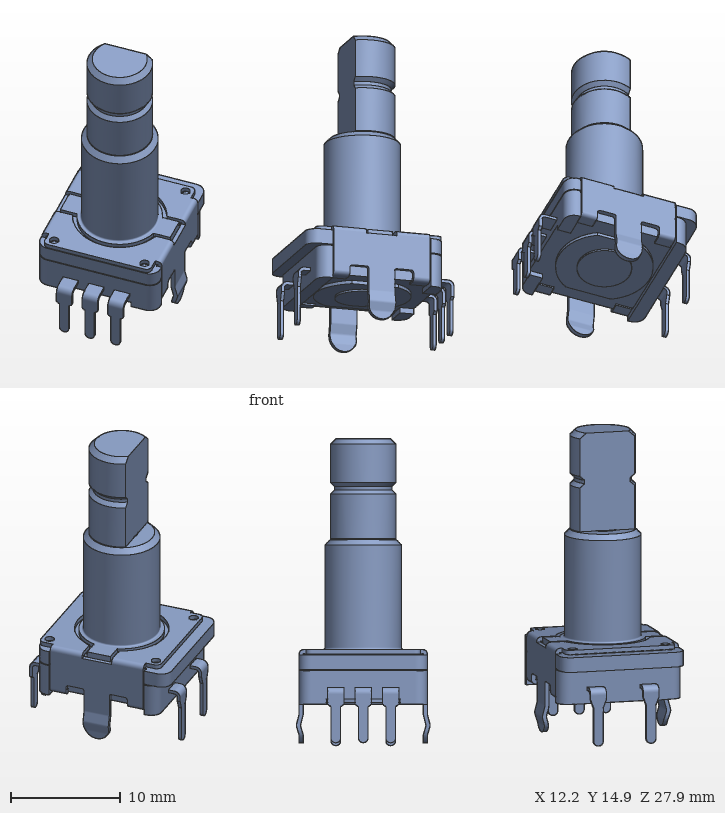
import cadquery as cq
import math


body_half_x = 5.85
body_half_y = 6.0
side_half_x = 5.35
corner_start_y = 4.7
corner_radius = 1.05
base_top = 3.06
seam_gap = 0.09
seam_depth = 1.0
flange_bottom = base_top + seam_gap
flange_top = 4.51
flange_back_y = 7.0

underside_z = 0.5
boss_bottom = 0.18
boss_radius = 4.45
boss_half_x = 3.85
foot_radius = 2.5
front_recess_half_x = 3.35

sheet = 0.4
cover_top = 5.0
plate_bottom = cover_top - sheet
plate_half_x = 5.2
plate_front_y = -6.0
plate_back_y = 5.95
plate_corner_radius = 0.5
wall_half_y = 4.6
wall_inner_x = body_half_x - sheet
fold_radius = 0.45
opening_radius = 4.3
slot_half_y = 1.45
rivet_x = 4.4
rivet_y = 5.25
rivet_diameter = 0.84
pad_inset = 0.3

hook_start_y = 3.05
hook_bottom = 0.34
hook_top = hook_bottom + sheet
hook_radius = 0.4
hook_end_x = 4.6
notch_top = 1.37
notch_radius = 0.3
leg_half_y = 1.25
leg_root_radius = 0.2
leg_end_z = -3.5
kink_peak = 0.262
kink_start_z = -0.92
kink_peak_z = -1.92
kink_end_z = -2.8
kink_radius = 0.5

ring_radius = 3.9
arm_half_y = 1.15
bushing_radius = 3.5
bushing_top = 15.0
bushing_chamfer = 0.5
bushing_fillet = 0.15

shaft_radius = 3.0
shaft_gap = 0.08
shaft_bottom = bushing_top + shaft_gap
shaft_top = 24.18
shaft_chamfer = 0.5
flat_y = 1.5
neck_radius = 1.5
neck_bottom = cover_top
groove_z = 19.67
groove_half_floor = 0.16
groove_depth = 0.38

terminal_sheet = 0.3
terminal_top = 1.53
terminal_bend = 0.6
terminal_width = 1.5
pin_width = 0.9
pin_shoulder_end = -0.25
terminal_pitch = 2.5
front_reach = 7.74
front_end_z = -3.5
front_shoulder_z = 0.0
back_reach = 7.16
back_end_z = -3.77
back_shoulder_z = 0.55


def block(x0, x1, y0, y1, z0, z1):
    """Box between the given limits."""
    return cq.Workplane("XY").box(x1 - x0, y1 - y0, z1 - z0, centered=False).translate((x0, y0, z0))


def make_rivet_holes():
    """Four round holes reaching from the cover top down to the flange."""
    return (
        cq.Workplane("XY")
        .workplane(offset=flange_top)
        .rect(2 * rivet_x, 2 * rivet_y, forConstruction=True)
        .vertices()
        .circle(rivet_diameter / 2)
        .extrude(cover_top - flange_top)
    )


def layer(front_y, back_y, z0, z1):
    """Rounded layer of the housing with its sides set back for the cover walls."""
    body = block(-body_half_x, body_half_x, front_y, back_y, z0, z1).edges("|Z").fillet(corner_radius)
    for side in (-1, 1):
        x0, x1 = sorted((side * side_half_x, side * (body_half_x + 1)))
        body = body.cut(block(x0, x1, -corner_start_y, corner_start_y, z0, z1))
    return body


def make_base():
    """Lower housing layer with a recessed underside, round boss and foot."""
    base = layer(-body_half_y, body_half_y, 0, base_top)
    base = base.cut(block(-body_half_x, body_half_x, -corner_start_y, corner_start_y, 0, underside_z))
    base = base.cut(
        block(-front_recess_half_x, front_recess_half_x, -body_half_y, -corner_start_y, 0, underside_z)
    )
    for side in (-1, 1):
        x0, x1 = sorted((side * hook_end_x, side * body_half_x))
        for y0 in (-corner_start_y, hook_start_y):
            y1 = y0 + corner_start_y - hook_start_y
            base = base.cut(block(x0, x1, y0, y1, underside_z, hook_top))
    boss = cq.Workplane("XY").workplane(offset=boss_bottom).circle(boss_radius)
    boss = boss.extrude(underside_z - boss_bottom)
    boss = boss.intersect(
        block(-boss_half_x, boss_half_x, -boss_radius, boss_radius, boss_bottom, underside_z)
    )
    foot = cq.Workplane("XY").circle(foot_radius).extrude(underside_z)
    return base.union(boss).union(foot)


def make_flange():
    """Upper housing layer, the web that joins it to the base, and the pad under the cover."""
    flange = layer(-body_half_y, flange_back_y, flange_bottom, flange_top)
    web_x = body_half_x - seam_depth
    web_y = body_half_y - seam_depth
    web = block(-web_x, web_x, -web_y, web_y, base_top, flange_bottom)
    pad_x = plate_half_x - pad_inset
    pad_front = plate_front_y + pad_inset
    pad_back = plate_back_y - pad_inset
    pad = block(-pad_x, pad_x, pad_front, pad_back, flange_top, plate_bottom)
    return flange.union(web).union(pad.cut(make_rivet_holes()))


def make_bushing():
    """Bushing with its raised ring and arms, filling the opening of the cover with a gap."""
    ring = cq.Workplane("XY").workplane(offset=flange_top).circle(ring_radius)
    ring = ring.extrude(cover_top - flange_top)
    arms = block(-side_half_x, side_half_x, -arm_half_y, arm_half_y, flange_top, cover_top)
    foot_r = bushing_radius + bushing_fillet
    sag = bushing_fillet * (1 - math.sqrt(0.5))
    profile = (
        cq.Workplane("XZ")
        .moveTo(0, flange_top)
        .lineTo(foot_r, flange_top)
        .lineTo(foot_r, cover_top)
        .threePointArc(
            (bushing_radius + sag, cover_top + sag), (bushing_radius, cover_top + bushing_fillet)
        )
        .lineTo(bushing_radius, bushing_top - bushing_chamfer)
        .lineTo(bushing_radius - bushing_chamfer, bushing_top)
        .lineTo(0, bushing_top)
        .close()
    )
    bushing = profile.revolve(360, (0, 0, 0), (0, 1, 0))
    bore = cq.Workplane("XY").workplane(offset=neck_bottom).circle(neck_radius)
    bore = bore.extrude(bushing_top - neck_bottom)
    return ring.union(arms).union(bushing).cut(bore)


def make_terminal(x, side, reach, shoulder_z, end_z):
    """L-bent terminal leaving the base toward side * Y."""
    inner_bend = terminal_bend - terminal_sheet
    root_y = body_half_y - terminal_sheet
    bend_y = reach - terminal_bend
    bend_z = terminal_top - terminal_bend
    diagonal = math.sqrt(0.5)
    strip = (
        cq.Workplane("YZ")
        .moveTo(root_y, terminal_top)
        .lineTo(bend_y, terminal_top)
        .threePointArc(
            (bend_y + terminal_bend * diagonal, bend_z + terminal_bend * diagonal), (reach, bend_z)
        )
        .lineTo(reach, end_z)
        .lineTo(reach - terminal_sheet, end_z)
        .lineTo(reach - terminal_sheet, bend_z)
        .threePointArc(
            (bend_y + inner_bend * diagonal, bend_z + inner_bend * diagonal),
            (bend_y, bend_z + inner_bend),
        )
        .lineTo(root_y, bend_z + inner_bend)
        .close()
        .extrude(terminal_width / 2, both=True)
    )
    half_wide = terminal_width / 2
    half_pin = pin_width / 2
    outline = (
        cq.Workplane("XZ")
        .moveTo(-half_wide, terminal_top)
        .lineTo(-half_wide, shoulder_z)
        .lineTo(-half_pin, pin_shoulder_end)
        .lineTo(-half_pin, end_z + half_pin)
        .threePointArc((0, end_z), (half_pin, end_z + half_pin))
        .lineTo(half_pin, pin_shoulder_end)
        .lineTo(half_wide, shoulder_z)
        .lineTo(half_wide, terminal_top)
        .close()
        .extrude(-reach)
    )
    terminal = strip.intersect(outline)
    if side < 0:
        terminal = terminal.mirror("XZ")
    return terminal.translate((x, 0, 0))


def make_housing():
    housing = make_base().union(make_flange()).union(make_bushing())
    for x in (-terminal_pitch, 0, terminal_pitch):
        housing = housing.union(make_terminal(x, -1, front_reach, front_shoulder_z, front_end_z))
    for x in (-terminal_pitch, terminal_pitch):
        housing = housing.union(make_terminal(x, 1, back_reach, back_shoulder_z, back_end_z))
    return housing


def make_plate():
    """Flat top of the cover with its four rivet holes."""
    plate = block(-plate_half_x, plate_half_x, plate_front_y, plate_back_y, plate_bottom, cover_top)
    plate = plate.edges("|Z").fillet(plate_corner_radius)
    return plate.cut(make_rivet_holes())


def make_folded_walls():
    """Top band folded down into both side walls and hooked under the base."""
    outer = block(-body_half_x, body_half_x, -wall_half_y, wall_half_y, hook_bottom, cover_top)
    outer = outer.edges("|Y and >Z").fillet(fold_radius)
    outer = outer.edges("|Y and <Z").fillet(hook_radius)
    inside = block(-wall_inner_x, wall_inner_x, -wall_half_y, wall_half_y, hook_top, plate_bottom)
    under = block(-hook_end_x, hook_end_x, -wall_half_y, wall_half_y, hook_bottom, hook_top)
    walls = outer.cut(inside).cut(under)
    window_height = 2 * (notch_top - hook_bottom)
    window = cq.Workplane("YZ").center(0, hook_bottom).rect(2 * hook_start_y, window_height)
    window = window.extrude(body_half_x, both=True).edges("|X").fillet(notch_radius)
    return walls.cut(window)


def make_leg():
    """Snap-in leg on the +X side, kinked outward and rounded at its end."""
    peak_x = body_half_x + kink_peak
    root_half_y = leg_half_y + leg_root_radius
    root_z = notch_top - leg_root_radius
    root_mid_y = root_half_y - leg_root_radius * math.sqrt(0.5)
    root_mid_z = root_z + leg_root_radius * math.sqrt(0.5)
    outer_line = [
        (body_half_x, notch_top),
        (body_half_x, kink_start_z),
        (peak_x, kink_peak_z),
        (body_half_x, kink_end_z),
        (body_half_x, leg_end_z),
    ]
    inner_line = [(x - sheet, z) for x, z in reversed(outer_line)]
    leg = cq.Workplane("XZ").polyline(outer_line + inner_line).close().extrude(root_half_y, both=True)
    bend_zone = cq.selectors.BoxSelector(
        (0, -root_half_y, leg_end_z + sheet), (peak_x + sheet, root_half_y, 0)
    )
    leg = leg.edges("|Y").edges(bend_zone).fillet(kink_radius)
    outline = (
        cq.Workplane("YZ")
        .moveTo(-root_half_y, notch_top)
        .threePointArc((-root_mid_y, root_mid_z), (-leg_half_y, root_z))
        .lineTo(-leg_half_y, leg_end_z + leg_half_y)
        .threePointArc((0, leg_end_z), (leg_half_y, leg_end_z + leg_half_y))
        .lineTo(leg_half_y, root_z)
        .threePointArc((root_mid_y, root_mid_z), (root_half_y, notch_top))
        .close()
        .extrude(peak_x)
    )
    return leg.intersect(outline)


def make_cover():
    leg = make_leg()
    cover = make_plate().union(make_folded_walls()).union(leg).union(leg.mirror("YZ"))
    opening = cq.Workplane("XY").workplane(offset=flange_top).circle(opening_radius)
    opening = opening.extrude(cover_top - flange_top)
    slots = block(-body_half_x, body_half_x, -slot_half_y, slot_half_y, flange_top, cover_top)
    return cover.cut(opening).cut(slots)


def make_shaft():
    """Chamfered shaft with a ring groove and a D-cut, on a round neck inside the bushing."""
    groove_radius = shaft_radius - groove_depth
    groove_half = groove_half_floor + groove_depth
    profile = [
        (0, shaft_bottom),
        (shaft_radius, shaft_bottom),
        (shaft_radius, groove_z - groove_half),
        (groove_radius, groove_z - groove_half_floor),
        (groove_radius, groove_z + groove_half_floor),
        (shaft_radius, groove_z + groove_half),
        (shaft_radius, shaft_top - shaft_chamfer),
        (shaft_radius - shaft_chamfer, shaft_top),
        (0, shaft_top),
    ]
    shaft = cq.Workplane("XZ").polyline(profile).close().revolve(360, (0, 0, 0), (0, 1, 0))
    shaft = shaft.cut(
        block(-shaft_radius, shaft_radius, flat_y, shaft_radius, shaft_bottom, shaft_top)
    )
    neck = cq.Workplane("XY").workplane(offset=neck_bottom).circle(neck_radius)
    return shaft.union(neck.extrude(shaft_bottom - neck_bottom))


housing = make_housing()
cover = make_cover()
shaft = make_shaft()

result = cq.Compound.makeCompound([housing.solids().val(), cover.solids().val(), shaft.solids().val()])